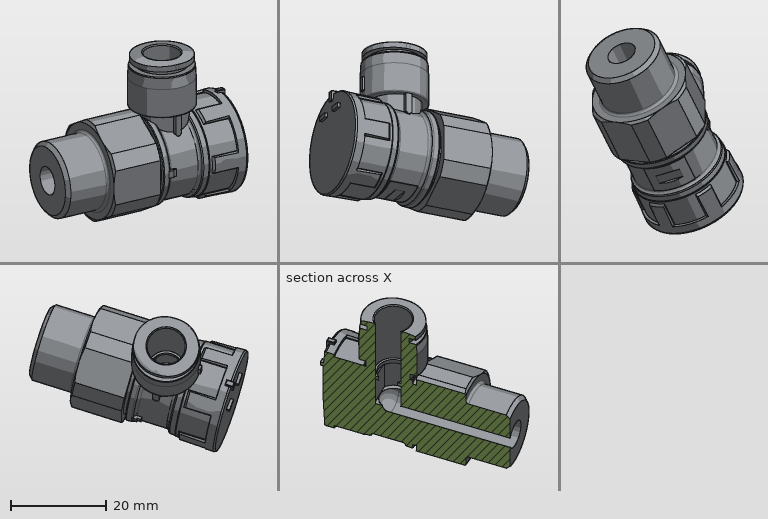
import cadquery as cq
import math


THREAD_TIP_Y = -27.8
HEX_FRONT_Y = -17.75
HEX_REAR_Y = -6.4
FRONT_COLLAR_START_Y = -5.6
FRONT_COLLAR_END_Y = -4.25
BODY_START_Y = -3.25
BODY_END_Y = 3.25
REAR_COLLAR_START_Y = 4.2
REAR_COLLAR_END_Y = 5.4
CAP_START_Y = 5.6
RIB_START_Y = 6.15
FLANGE_START_Y = 12.25
FLANGE_RIM_Y = 14.1
DOME_START_Y = 14.5
DOME_TOP_Y = 15.1
BODY_REAR_Y = 15.44

THREAD_R = 16.66 / 2
THREAD_CHAMFER = 0.85
THREAD_ROOT_FILLET = 0.6
HEX_FLATS = 21.0
HEX_CORNER_R = 11.2
HEX_CHAMFER_ANGLE = 30.0
NECK_FRONT_R = 9.25
NECK_REAR_R = 9.45
COLLAR_R = 10.4
COLLAR_EDGE_BREAK = 0.1
FRONT_COLLAR_BEVEL = 0.25
BODY_R = 9.5
WAIST_FILLET = 0.65
CAP_R = 21.0 / 2
FLANGE_R = 11.2
RIB_START_R = 11.0
DOME_EDGE_R = 11.0

RIB_COUNT = 6
RIB_WIDTH = 3.3
RIB_ROOT_WIDTH = 3.9
RIB_BEVEL = 0.45
CUT_CLEARANCE = 1.0
KEY_WIDTH = 1.2
KEY_START_Y = 13.2
KEY_END_Y = 15.0
KEY_TOP_Z = 11.75
KEY_ROOT_Z = 9.5
KEY_CHAMFER = 0.15
MARK_X = 3.0
MARK_WIDTH = 2.5
MARK_HEIGHT = 1.0
MARK_Z = 6.9

PAD_WIDTH = 9.2
PAD_BOTTOM_Z = -9.6
PAD_GROOVE_DEPTH = 0.37
PAD_GROOVE_FLOOR = 2.1
PAD_GROOVE_MOUTH = 2.6
TAB_START_Y = -2.25
TAB_STEP_Y = -3.1
TAB_ROOT_X = 9.0
TAB_TIP_X = 10.0
TAB_SHOULDER_X = 10.3
TAB_WIDTH = 1.6

OVERALL_HEIGHT = 34.54
PORT_TOP_Z = OVERALL_HEIGHT - HEX_CORNER_R
BUTTON_RIM_Z = 22.92
BUTTON_BOTTOM_Z = 21.75
SLEEVE_TOP_Z = 20.7
SLEEVE_EDGE_Z = 20.45
SLEEVE_TAPER_Z = 17.95
SLEEVE_BOTTOM_Z = 11.4
BUTTON_R = 6.5
CROWN_RISE = 0.08
BUTTON_STRETCH = 0.8
BUTTON_NECK_R = 11.15 / 2
SLEEVE_R = 14.5 / 2
SLEEVE_EDGE_R = 7.1
SLEEVE_TOP_R = 7.0
SLEEVE_FILLET = 0.25
STEM_WIDTH_X = 12.0
STEM_WIDTH_Y = 11.3
STEM_RIB_SPAN = 14.0
STEM_RIB_WIDTH = 1.36
STEM_RIB_TIP_Z = 6.7
STEM_RIB_TIP_CHAMFER = 0.5
POINTER_WIDTH = 1.0
POINTER_ROOT_Y = 6.25
POINTER_Y = 7.75
POINTER_BOTTOM_Z = 13.25
POINTER_TOP_Z = 16.3

THREAD_BORE_R = 6.15 / 2
TUBE_BORE_R = 8.0 / 2
TUBE_BORE_CHAMFER = 0.25
TUBE_STOP_R = 7.0 / 2
TUBE_STOP_BOTTOM_Z = 7.0
TUBE_STOP_TOP_Z = 8.0
CHAMBER_DEPTH_Y = 6.2


def spin_about_y(profile):
    """Revolve an XY outline, drawn as (radius, y), about the body axis."""
    return profile.close().revolve(360, (0, 0, 0), (0, 1, 0))


def block(x_range, y_range, z_range):
    """Axis-aligned block from its limits on the three axes."""
    lows = [min(limits) for limits in (x_range, y_range, z_range)]
    sizes = [abs(limits[1] - limits[0]) for limits in (x_range, y_range, z_range)]
    return cq.Workplane("XY").box(*sizes, centered=False).translate(tuple(lows))


def disc(radius, bottom_z, top_z):
    """Upright cylinder on the port axis."""
    return cq.Workplane("XY").workplane(offset=bottom_z).circle(radius).extrude(top_z - bottom_z)


def make_thread():
    """Plain thread blank with a chamfered tip and a concave root against the hex."""
    root_y = HEX_FRONT_Y - THREAD_ROOT_FILLET
    inset = THREAD_ROOT_FILLET * (1 - math.sqrt(0.5))
    root_mid = (THREAD_R + inset, HEX_FRONT_Y - inset)
    profile = (
        cq.Workplane("XY")
        .moveTo(0, THREAD_TIP_Y)
        .lineTo(THREAD_R - THREAD_CHAMFER, THREAD_TIP_Y)
        .lineTo(THREAD_R, THREAD_TIP_Y + THREAD_CHAMFER)
        .lineTo(THREAD_R, root_y)
        .threePointArc(root_mid, (THREAD_R + THREAD_ROOT_FILLET, HEX_FRONT_Y))
        .lineTo(0, HEX_FRONT_Y)
    )
    return spin_about_y(profile)


def make_hex():
    """Hexagon with flats facing +-X, rounded at its corners and chamfered at the thread end."""
    length = HEX_REAR_Y - HEX_FRONT_Y
    corner_diameter = HEX_FLATS / math.cos(math.pi / 6)
    prism = (
        cq.Workplane("XZ", origin=(0, HEX_REAR_Y, 0))
        .transformed(rotate=(0, 0, 30))
        .polygon(6, corner_diameter)
        .extrude(length)
    )
    face_r = HEX_FLATS / 2
    chamfer_length = (HEX_CORNER_R - face_r) * math.tan(math.radians(HEX_CHAMFER_ANGLE))
    envelope = (
        cq.Workplane("XY")
        .moveTo(0, HEX_FRONT_Y)
        .lineTo(face_r, HEX_FRONT_Y)
        .lineTo(HEX_CORNER_R, HEX_FRONT_Y + chamfer_length)
        .lineTo(HEX_CORNER_R, HEX_REAR_Y)
        .lineTo(0, HEX_REAR_Y)
    )
    return prism.intersect(spin_about_y(envelope))


def make_barrel():
    """Turned body from the hex to the domed cap, with a collar at each end of its waist."""
    collar_edge_r = COLLAR_R - COLLAR_EDGE_BREAK
    fillet_end_r = BODY_R + WAIST_FILLET
    fillet_mid_r = BODY_R + WAIST_FILLET * (1 - math.sqrt(0.5))
    fillet_mid_length = WAIST_FILLET * math.sqrt(0.5)
    front_fillet_mid = (fillet_mid_r, BODY_START_Y - fillet_mid_length)
    rear_fillet_end = (fillet_end_r, BODY_END_Y + WAIST_FILLET)
    rear_fillet_mid = (fillet_mid_r, BODY_END_Y + fillet_mid_length)
    dome_mid_y = DOME_START_Y + 0.75 * (DOME_TOP_Y - DOME_START_Y)
    profile = (
        cq.Workplane("XY")
        .moveTo(0, HEX_REAR_Y)
        .lineTo(NECK_FRONT_R, HEX_REAR_Y)
        .lineTo(NECK_REAR_R, FRONT_COLLAR_START_Y)
        .lineTo(collar_edge_r, FRONT_COLLAR_START_Y)
        .lineTo(COLLAR_R, FRONT_COLLAR_START_Y + FRONT_COLLAR_BEVEL)
        .lineTo(collar_edge_r, FRONT_COLLAR_END_Y)
        .lineTo(fillet_end_r, BODY_START_Y - WAIST_FILLET)
        .threePointArc(front_fillet_mid, (BODY_R, BODY_START_Y))
        .lineTo(BODY_R, BODY_END_Y)
        .threePointArc(rear_fillet_mid, rear_fillet_end)
        .lineTo(collar_edge_r, REAR_COLLAR_START_Y)
        .lineTo(COLLAR_R, REAR_COLLAR_END_Y)
        .lineTo(CAP_R, CAP_START_Y)
        .lineTo(CAP_R, RIB_START_Y)
        .lineTo(RIB_START_R, RIB_START_Y + RIB_BEVEL)
        .lineTo(FLANGE_R, FLANGE_RIM_Y)
        .lineTo(DOME_EDGE_R, DOME_START_Y)
        .threePointArc((DOME_EDGE_R / 2, dome_mid_y), (0, DOME_TOP_Y))
    )
    return spin_about_y(profile)


def make_cap_recesses():
    """Ring cut from the cap in front of its flange, interrupted where the grip ribs stay."""
    length = FLANGE_START_Y - RIB_START_Y
    rear_plane = cq.Workplane("XZ", origin=(0, FLANGE_START_Y, 0))
    clear_r = FLANGE_R + CUT_CLEARANCE
    recesses = rear_plane.circle(clear_r).circle(CAP_R).extrude(length)
    for index in range(RIB_COUNT):
        rib = (
            rear_plane
            .polyline([
                (0, -RIB_ROOT_WIDTH / 2),
                (CAP_R, -RIB_ROOT_WIDTH / 2),
                (FLANGE_R, -RIB_WIDTH / 2),
                (clear_r, -RIB_WIDTH / 2),
                (clear_r, RIB_WIDTH / 2),
                (FLANGE_R, RIB_WIDTH / 2),
                (CAP_R, RIB_ROOT_WIDTH / 2),
                (0, RIB_ROOT_WIDTH / 2),
            ])
            .close()
            .extrude(length)
            .rotate((0, 0, 0), (0, 1, 0), index * 360 / RIB_COUNT)
        )
        recesses = recesses.cut(rib)
    return recesses


def make_cap_details():
    """Index key on top of the flange and two marker bars on the domed end."""
    key = block(
        (-KEY_WIDTH / 2, KEY_WIDTH / 2), (KEY_START_Y, KEY_END_Y), (KEY_ROOT_Z, KEY_TOP_Z)
    ).faces(">Z").chamfer(KEY_CHAMFER)
    details = cq.Workplane("XY").add(key)
    for side in (-1, 1):
        center_x = side * MARK_X
        details = details.add(block(
            (center_x - MARK_WIDTH / 2, center_x + MARK_WIDTH / 2),
            (DOME_START_Y, BODY_REAR_Y),
            (MARK_Z - MARK_HEIGHT / 2, MARK_Z + MARK_HEIGHT / 2),
        ))
    return details.combine()


def make_pad():
    """Shallow curved pad below the waist of the body."""
    sides = block((-PAD_WIDTH / 2, PAD_WIDTH / 2), (BODY_START_Y, BODY_END_Y), (PAD_BOTTOM_Z, 0))
    round_face = cq.Workplane("XZ", origin=(0, BODY_END_Y, 0)).circle(-PAD_BOTTOM_Z)
    return sides.intersect(round_face.extrude(BODY_END_Y - BODY_START_Y))


def make_pad_groove():
    """Tapered groove across the pad, running along X."""
    floor_z = PAD_BOTTOM_Z + PAD_GROOVE_DEPTH
    return (
        cq.Workplane("YZ")
        .polyline([
            (-PAD_GROOVE_MOUTH / 2, PAD_BOTTOM_Z),
            (-PAD_GROOVE_FLOOR / 2, floor_z),
            (PAD_GROOVE_FLOOR / 2, floor_z),
            (PAD_GROOVE_MOUTH / 2, PAD_BOTTOM_Z),
        ])
        .close()
        .extrude(PAD_WIDTH / 2, both=True)
    )


def make_stop_tab():
    """Stepped stop tab on the +X side, standing against the front collar."""
    return (
        cq.Workplane("XY")
        .moveTo(TAB_ROOT_X, TAB_START_Y)
        .lineTo(TAB_TIP_X, TAB_START_Y)
        .lineTo(TAB_TIP_X, TAB_STEP_Y)
        .lineTo(TAB_SHOULDER_X, TAB_STEP_Y)
        .lineTo(TAB_SHOULDER_X, FRONT_COLLAR_END_Y)
        .lineTo(TAB_ROOT_X, FRONT_COLLAR_END_Y)
        .close()
        .extrude(TAB_WIDTH / 2, both=True)
    )


def make_stem():
    """Stem between body and sleeve, with a rib, chamfered at its lower tip, on its -X and +X sides."""
    stem = cq.Workplane("XY").slot2D(STEM_WIDTH_X, STEM_WIDTH_Y).extrude(SLEEVE_BOTTOM_Z)
    half_width = STEM_RIB_WIDTH / 2
    chamfer = STEM_RIB_TIP_CHAMFER
    ribs = (
        cq.Workplane("YZ")
        .moveTo(-half_width, SLEEVE_BOTTOM_Z + SLEEVE_FILLET)
        .lineTo(-half_width, STEM_RIB_TIP_Z + chamfer)
        .lineTo(chamfer - half_width, STEM_RIB_TIP_Z)
        .lineTo(half_width - chamfer, STEM_RIB_TIP_Z)
        .lineTo(half_width, STEM_RIB_TIP_Z + chamfer)
        .lineTo(half_width, SLEEVE_BOTTOM_Z + SLEEVE_FILLET)
        .close()
        .extrude(STEM_RIB_SPAN / 2, both=True)
    )
    return stem.union(ribs)


def make_sleeve():
    """Tapered sleeve of the tube port with a pointer on its +Y side."""
    sleeve = (
        cq.Workplane("XZ")
        .moveTo(0, SLEEVE_BOTTOM_Z)
        .lineTo(SLEEVE_R - SLEEVE_FILLET, SLEEVE_BOTTOM_Z)
        .radiusArc((SLEEVE_R, SLEEVE_BOTTOM_Z + SLEEVE_FILLET), -SLEEVE_FILLET)
        .lineTo(SLEEVE_R, SLEEVE_TAPER_Z)
        .lineTo(SLEEVE_EDGE_R, SLEEVE_EDGE_Z)
        .lineTo(SLEEVE_TOP_R, SLEEVE_TOP_Z)
        .lineTo(0, SLEEVE_TOP_Z)
        .close()
        .revolve(360, (0, 0, 0), (0, 1, 0))
    )
    pointer = block(
        (-POINTER_WIDTH / 2, POINTER_WIDTH / 2),
        (POINTER_ROOT_Y, POINTER_Y),
        (POINTER_BOTTOM_Z, POINTER_TOP_Z),
    )
    return sleeve.union(pointer)


def make_release_button():
    """Release button on a round neck: an oval disc, longer along Y, with a convex crown."""
    neck = disc(BUTTON_NECK_R, SLEEVE_TOP_Z, BUTTON_BOTTOM_Z)
    oval = (
        cq.Workplane("XY")
        .workplane(offset=BUTTON_BOTTOM_Z)
        .slot2D(2 * BUTTON_R + BUTTON_STRETCH, 2 * BUTTON_R, 90)
        .extrude(PORT_TOP_Z - BUTTON_BOTTOM_Z)
    )
    rim_r = BUTTON_R + BUTTON_STRETCH / 2
    crown_r = TUBE_BORE_R + TUBE_BORE_CHAMFER
    crown_mid = ((rim_r + crown_r) / 2, (BUTTON_RIM_Z + PORT_TOP_Z) / 2 + CROWN_RISE)
    crown = (
        cq.Workplane("XZ")
        .moveTo(0, BUTTON_BOTTOM_Z)
        .lineTo(rim_r, BUTTON_BOTTOM_Z)
        .lineTo(rim_r, BUTTON_RIM_Z)
        .threePointArc(crown_mid, (crown_r, PORT_TOP_Z))
        .lineTo(0, PORT_TOP_Z)
        .close()
        .revolve(360, (0, 0, 0), (0, 1, 0))
    )
    return neck.union(oval.intersect(crown))


def make_passages():
    """Tube bore, tube stop, flat-sided chamber, and the round-ended bore through the thread."""
    tube_bore = disc(TUBE_BORE_R, TUBE_STOP_TOP_Z, PORT_TOP_Z)
    mouth = (
        cq.Workplane("XY")
        .workplane(offset=PORT_TOP_Z)
        .circle(TUBE_BORE_R + TUBE_BORE_CHAMFER)
        .workplane(offset=-TUBE_BORE_CHAMFER)
        .circle(TUBE_BORE_R)
        .loft()
    )
    tube_stop = disc(TUBE_STOP_R, TUBE_STOP_BOTTOM_Z, TUBE_STOP_TOP_Z)
    chamber = disc(TUBE_BORE_R, 0, TUBE_STOP_BOTTOM_Z).intersect(block(
        (-TUBE_BORE_R, TUBE_BORE_R),
        (-CHAMBER_DEPTH_Y / 2, CHAMBER_DEPTH_Y / 2),
        (0, TUBE_STOP_BOTTOM_Z),
    ))
    thread_bore = cq.Workplane("XZ").circle(THREAD_BORE_R).extrude(-THREAD_TIP_Y)
    bore_end = cq.Workplane("XY").sphere(THREAD_BORE_R)
    return tube_bore.union(mouth).union(tube_stop).union(chamber).union(thread_bore).union(bore_end)


body = make_barrel().cut(make_cap_recesses()).union(make_pad()).cut(make_pad_groove())
for feature in (
    make_thread(),
    make_hex(),
    make_cap_details(),
    make_stop_tab(),
    make_stem(),
    make_sleeve(),
    make_release_button(),
):
    body = body.union(feature)

result = body.cut(make_passages())